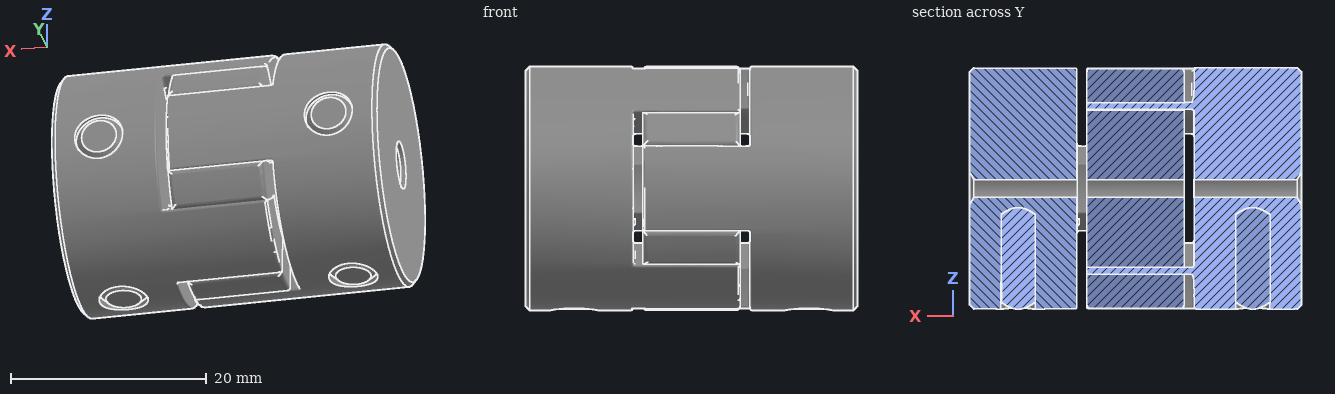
import cadquery as cq
import math


length = 34.0
outer_radius = 25.0 / 2
bore_radius = 4.0 / 2
leg_count = 6
jaw_count = leg_count // 2
leg_pitch = 360.0 / leg_count

spider_length = 10.0
jaw_gap = 1.0
jaw_length = spider_length + jaw_gap
hub_body_length = (length - spider_length - 2 * jaw_gap) / 2
spider_start = hub_body_length + jaw_gap

core_radius = 8.23
leg_half_width = 2.0
leg_widest_radius = 11.22
flank_radius = 14.95

rim_chamfer = 0.45
bore_chamfer = 0.45
jaw_round = 0.25
leg_round = 0.5

screw_radius = 5.0 / 2
screw_from_end = 5.0
screw_bevel = 0.68
screw_head_radius = math.sqrt(outer_radius**2 - (screw_radius - screw_bevel) ** 2)
screw_directions = [cq.Vector(0, 1, 0), cq.Vector(0, 0, -1)]

cut_margin = 0.68
tolerance = 0.005


def turned(body, degrees):
    """The body turned about the coupling axis."""
    return body.rotate((0, 0, 0), (1, 0, 0), degrees)


def disc(radius, start, depth):
    return cq.Workplane("YZ", origin=(start, 0, 0)).circle(radius).extrude(depth)


def distance_from_axis(point):
    return math.hypot(point.y, point.z)


def lies_at_radius(edge, radius):
    points = edge.positions([0, 0.5, 1])
    return all(abs(distance_from_axis(point) - radius) < tolerance for point in points)


def flank_half_angle(radius):
    """Angle from a leg's centre line to its bulging flank, at a distance from the axis."""
    centre_offset = flank_radius - leg_half_width
    centre_distance = math.hypot(leg_widest_radius, centre_offset)
    cosine = (radius**2 + centre_distance**2 - flank_radius**2) / (2 * radius * centre_distance)
    return math.degrees(math.acos(cosine) - math.atan2(centre_offset, leg_widest_radius))


def slot_half_angle(radius):
    """Half angle between neighbouring jaws of one hub, from the slot centre to a jaw flank."""
    return leg_pitch / 2 + flank_half_angle(radius)


def sector(inner, outer, half_angle, start, depth):
    """Prism centred on +Y between two radii; half_angle gives its half width at a radius."""

    def corner(radius, side):
        angle = math.radians(side * half_angle(radius))
        return radius * math.cos(angle), radius * math.sin(angle)

    middle = (inner + outer) / 2
    return (
        cq.Workplane("YZ", origin=(start, 0, 0))
        .moveTo(*corner(inner, -1))
        .threePointArc(corner(middle, -1), corner(outer, -1))
        .threePointArc((outer, 0), corner(outer, 1))
        .threePointArc(corner(middle, 1), corner(inner, 1))
        .threePointArc((inner, 0), corner(inner, -1))
        .close()
        .extrude(depth)
    )


def make_jaw_cutter():
    """Space around the jaws: the core and the wide slots, with all jaw roots rounded."""
    cutter = disc(core_radius, hub_body_length, jaw_length)
    slot = sector(
        core_radius - cut_margin,
        outer_radius + cut_margin,
        slot_half_angle,
        hub_body_length,
        jaw_length,
    )
    for index in range(jaw_count):
        cutter = cutter.union(turned(slot, (2 * index + 1) * leg_pitch))
    inner_jaw_edges = cutter.edges("|X").filter(lambda edge: lies_at_radius(edge, core_radius))
    cutter = inner_jaw_edges.fillet(jaw_round)
    return cutter.faces("<X").edges().fillet(jaw_round)


def is_jaw_rim(edge):
    on_jaw_side = edge.Center().x > hub_body_length - tolerance
    return on_jaw_side and lies_at_radius(edge, outer_radius)


def make_hub():
    """Hub with its plain end at x = 0 and one of its jaws on +Y."""
    hub = disc(outer_radius, 0, hub_body_length + jaw_length)
    hub = hub.faces("<X").edges().chamfer(rim_chamfer)
    hub = hub.cut(make_jaw_cutter())
    hub = hub.edges().filter(is_jaw_rim).fillet(jaw_round)
    hub = hub.cut(disc(bore_radius, 0, hub_body_length))
    bore_mouth = hub.faces("<X").edges().filter(lambda edge: lies_at_radius(edge, bore_radius))
    return bore_mouth.chamfer(bore_chamfer)


def make_spider():
    spider = disc(core_radius, spider_start, spider_length)
    leg = sector(
        core_radius - cut_margin,
        outer_radius,
        flank_half_angle,
        spider_start,
        spider_length,
    )
    outer_edges = leg.edges().filter(lambda edge: lies_at_radius(edge, outer_radius))
    leg = outer_edges.fillet(leg_round)
    for index in range(leg_count):
        spider = spider.union(turned(leg, (index + 0.5) * leg_pitch))
    return spider.cut(disc(bore_radius, spider_start, spider_length))


def make_screw_blank(x, direction, top_radius):
    """Screw body from the bore to top_radius; its tip is bevelled to clear the other screw."""
    tip = cq.Vector(x, 0, 0) + direction * bore_radius
    plane = cq.Plane(origin=tip, xDir=(1, 0, 0), normal=direction)
    blank = cq.Workplane(plane).circle(screw_radius).extrude(top_radius - bore_radius)
    tip_face = cq.selectors.DirectionMinMaxSelector(direction, directionMax=False)
    return blank.faces(tip_face).chamfer(screw_bevel)


def make_screw(x, direction):
    head_face = cq.selectors.DirectionMinMaxSelector(direction)
    return make_screw_blank(x, direction, screw_head_radius).faces(head_face).chamfer(screw_bevel)


def with_screw_holes(hub, x):
    for direction in screw_directions:
        hub = hub.cut(make_screw_blank(x, direction, outer_radius))
    return hub


left_screw_x = screw_from_end
right_screw_x = length - screw_from_end

left_hub = make_hub()
right_hub = turned(make_hub().mirror("YZ", (length / 2, 0, 0)), leg_pitch)
left_hub = with_screw_holes(left_hub, left_screw_x)
right_hub = with_screw_holes(right_hub, right_screw_x)

spider = make_spider()

screws = []
for screw_x in (left_screw_x, right_screw_x):
    for direction in screw_directions:
        screws.append(make_screw(screw_x, direction).val())

result = cq.Compound.makeCompound([left_hub.val(), right_hub.val(), spider.val(), *screws])